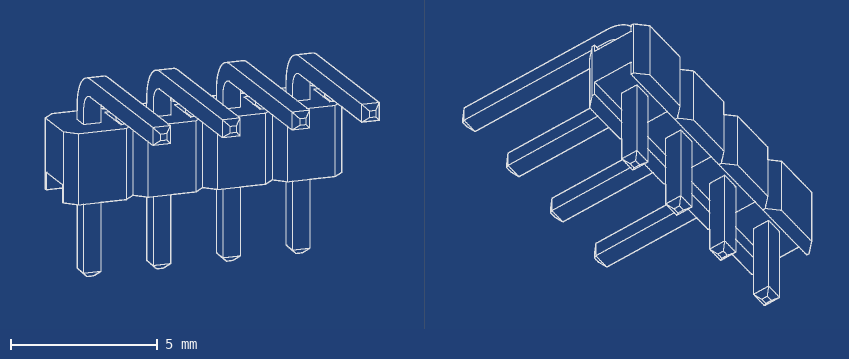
import cadquery as cq


unit_count = 4
row_length = 10.16
pitch = row_length / unit_count

block_size = pitch
corner_chamfer = 0.4
slot_width = 1.53
channel_height = 0.63
notch_length = 0.41
notch_depth = 0.31

pin_size = 0.64
bend_inner_radius = pin_size
arm_rise = 1.8
overall_length_x = 8.45
overall_height = 7.3
tip_chamfer = 0.2

half_block = block_size / 2
half_pin = pin_size / 2
arm_top = block_size + arm_rise
arm_bottom = arm_top - pin_size
leg_end = arm_top - overall_height
arm_end = overall_length_x - half_block
bend_center_x = half_pin + bend_inner_radius
bend_center_z = arm_bottom - bend_inner_radius


def make_block():
    """Chamfered cube with a channel under it and a notch at the top of its back face."""
    block = (
        cq.Workplane("XY")
        .box(block_size, block_size, block_size, centered=(True, True, False))
        .edges("|Z")
        .chamfer(corner_chamfer)
    )
    channel = cq.Workplane("XY").box(
        slot_width, block_size, channel_height, centered=(True, True, False)
    )
    notch = (
        cq.Workplane("XY")
        .box(slot_width, notch_length, notch_depth, centered=(True, False, False))
        .translate((0, half_block - notch_length, block_size - notch_depth))
    )
    return block.cut(channel).cut(notch)


def make_pin():
    """Square wire with a vertical leg, a quarter bend and an arm along +X, tapered at both ends."""
    square = cq.Workplane("XY", origin=(0, 0, leg_end)).rect(pin_size, pin_size)
    path = (
        cq.Workplane("XZ")
        .moveTo(0, leg_end)
        .lineTo(0, bend_center_z)
        .radiusArc((bend_center_x, arm_top - half_pin), bend_inner_radius + half_pin)
        .lineTo(arm_end, arm_top - half_pin)
    )
    pin = square.sweep(path)
    pin = pin.faces("<Z").chamfer(tip_chamfer)
    return pin.faces(">X").chamfer(tip_chamfer)


def make_unit():
    return make_block().union(make_pin())


units = []
for index in range(unit_count):
    unit_y = (index + 0.5) * pitch - row_length / 2
    units.append(make_unit().translate((0, unit_y, 0)))

result = cq.Compound.makeCompound([unit.val() for unit in units])